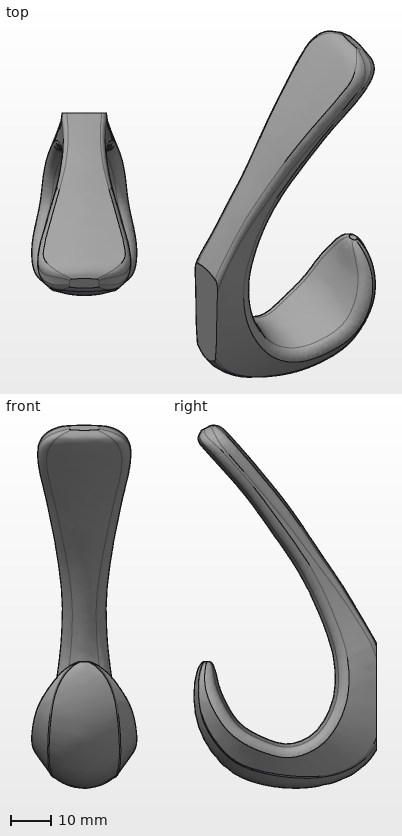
import cadquery as cq
import math


ROUND_FRACTION = 1 - math.sqrt(0.5)
WALL_BLOCK_DEPTH = 17.95
WALL_BLOCK_WIDTH = 53.9
WALL_BLOCK_HEIGHT = 89.8

ARM_STATIONS = [
    ((43.4, 88.4), (40.9, 89.7), 3.8, 0.6, 0.3, (3.6, 0.6), (3.05, 0.2)),
    ((44.1, 87.0), (39.2, 89.6), 7.1, 1.35, 0.45, (6.8, 1.6), (5.75, 0.5)),
    ((43.7, 85.1), (37.5, 88.5), 9.8, 2.0, 0.6, (9.6, 2.7), (8.1, 0.7)),
    ((41.5, 82.5), (35.55, 86.4), 11.3, 2.2, 0.7, (11.2, 3.2), (9.9, 0.6)),
    ((38.6, 79.4), (33.3, 83.85), 11.5, 2.2, 0.7, (11.4, 3.3), (10.05, 0.6)),
    ((32.2, 72.0), (27.3, 76.75), 10.05, 2.2, 0.7, (10.0, 3.2), (8.6, 0.6)),
    ((25.2, 62.2), (19.75, 67.0), 7.9, 2.3, 0.8, (7.7, 2.8), (6.5, 0.5)),
    ((19.4, 53.6), (13.3, 57.3), 6.4, 2.4, 0.8, (6.1, 2.2), (4.8, 0.45)),
    ((15.1, 45.1), (7.8, 49.2), 5.5, 2.5, 0.8, (5.3, 1.8), (4.0, 0.4)),
    ((12.2, 37.9), (3.0, 41.0), 5.6, 2.5, 0.8, (5.2, 1.35), (4.0, 0.3)),
]
PAD_STATIONS = [
    ((10.8, 32.8), (-0.5, 34.6), 6.0, 2.6, 0.8, (5.6, 1.35), (4.3, 0.3)),
    ((10.2, 26.0), (-2.1, 25.1), 7.0, 2.6, 0.8, (4.85, 0.9), (4.1, 0.4)),
    ((11.8, 19.1), (-1.3, 12.2), 8.35, 2.6, 0.8, (4.5, 1.3), (3.95, 0.6)),
]
BEND_STATIONS = [
    ((14.7, 14.4), (4.4, 4.5), 9.5, 2.6, 0.8, (4.7, 1.7), (4.2, 1.35)),
    ((18.7, 11.7), (13.1, 0.7), 10.3, 2.6, 0.8, (6.1, 2.5), (5.7, 2.15)),
    ((22.6, 10.95), (21.5, 0.0), 10.95, 2.6, 0.8, (7.9, 3.1), (7.45, 2.7)),
    ((26.5, 11.9), (29.6, 1.3), 12.0, 2.6, 0.8, (8.6, 3.1), (8.2, 2.8)),
    ((30.8, 13.9), (36.8, 4.8), 12.9, 2.7, 0.8, (9.0, 2.7), (8.6, 2.4)),
]
SPOON_STATIONS = [
    ((34.4, 16.7), (41.8, 10.6), 12.8, 2.8, 0.7, (9.0, 2.2), (8.6, 2.0)),
    ((37.2, 21.1), (44.4, 16.7), 11.8, 2.9, 0.7, (8.5, 1.7), (8.2, 1.5)),
    ((39.05, 25.8), (45.15, 23.8), 8.8, 2.7, 0.7, (7.1, 1.3), (6.8, 1.2)),
    ((39.8, 28.9), (44.5, 28.4), 5.7, 2.15, 0.5, (4.85, 1.0), (4.5, 0.8)),
    ((40.4, 30.5), (43.8, 30.25), 3.3, 1.4, 0.4, (3.0, 0.8), (2.6, 0.6)),
    ((41.2, 31.3), (43.0, 31.2), 1.3, 0.6, 0.2, (1.1, 0.45), (0.9, 0.3)),
]


def section(inner, outer, rim, edge, crown, back, face):
    """Closed cross-section: crowned inner face, rounded rim, tapered sides, arched outer face."""
    reach = outer[0] - inner[0]
    rise = outer[1] - inner[1]
    depth = math.hypot(reach, rise)
    plane = cq.Plane(
        origin=(0, -inner[0], inner[1]),
        xDir=(1, 0, 0),
        normal=(0, -rise / depth, -reach / depth),
    )
    flat = rim - edge
    rim_depth = crown + edge
    round_x = rim - edge * ROUND_FRACTION
    round_depth = crown + edge * ROUND_FRACTION
    back_x = back[0]
    back_depth = depth - back[1]
    face_x = face[0]
    face_depth = depth - face[1]
    corner_x = back_x - (back_x - face_x) * ROUND_FRACTION
    corner_depth = face_depth - (face_depth - back_depth) * ROUND_FRACTION
    return (
        cq.Workplane(plane)
        .moveTo(-flat, crown)
        .threePointArc((0, 0), (flat, crown))
        .threePointArc((round_x, round_depth), (rim, rim_depth))
        .lineTo(back_x, back_depth)
        .threePointArc((corner_x, corner_depth), (face_x, face_depth))
        .threePointArc((0, depth), (-face_x, face_depth))
        .threePointArc((-corner_x, corner_depth), (-back_x, back_depth))
        .lineTo(-rim, rim_depth)
        .threePointArc((-round_x, round_depth), (-flat, crown))
        .wire()
        .val()
    )


def blade():
    """Smooth loft through every station, from the arm end to the spoon tip."""
    stations = ARM_STATIONS + PAD_STATIONS + BEND_STATIONS + SPOON_STATIONS
    return cq.Workplane(cq.Solid.makeLoft([section(*station) for station in stations]))


def behind_wall():
    """Block filling the space behind the wall plane."""
    return cq.Workplane().box(
        WALL_BLOCK_WIDTH, WALL_BLOCK_DEPTH, WALL_BLOCK_HEIGHT, centered=(True, False, False)
    )


result = blade().cut(behind_wall())